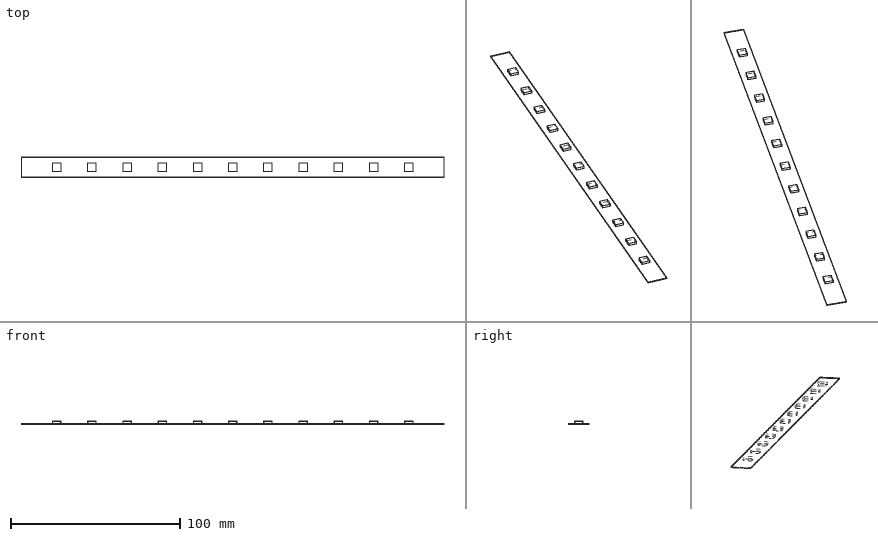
import cadquery as cq

strip_length = 250.0
strip_width = 12.0
strip_thickness = 0.5
overall_height = 1.9

led_count = 11
led_side = 5.0
led_height = overall_height - strip_thickness
led_pitch = strip_length / (led_count + 1)


def make_strip():
    """Flat tape with its underside on Z = 0, centred in X and Y."""
    return cq.Workplane("XY").box(
        strip_length, strip_width, strip_thickness, centered=(True, True, False)
    )


def add_leds(strip):
    """Add the row of LED packages along the centreline of the tape's top face."""
    return (
        strip.faces(">Z")
        .workplane()
        .rarray(led_pitch, 1, led_count, 1)
        .rect(led_side, led_side)
        .extrude(led_height)
    )


result = add_leds(make_strip())